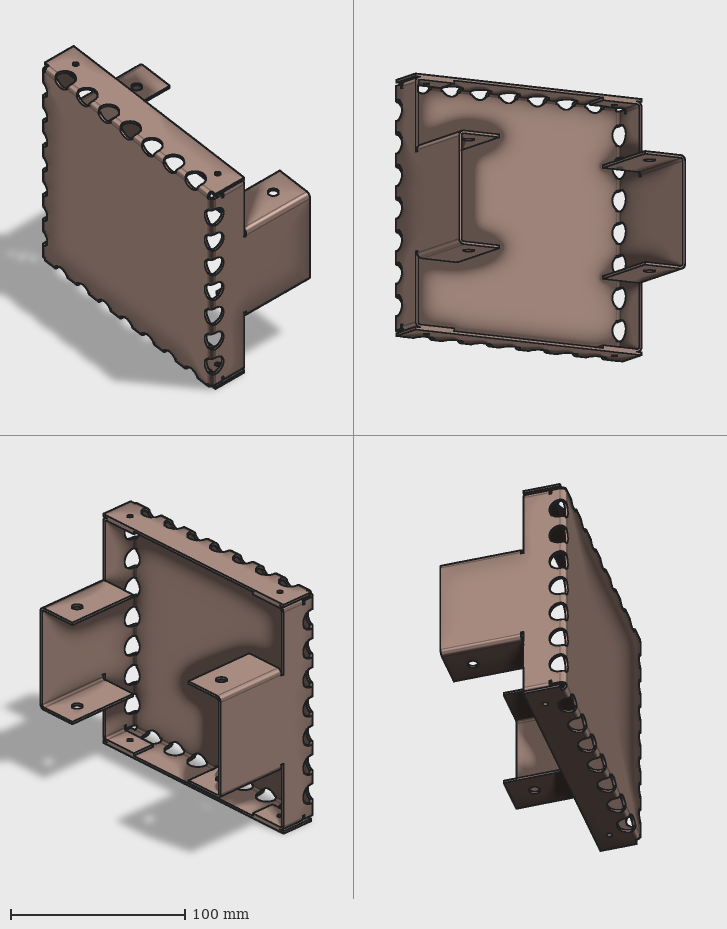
import cadquery as cq

size = 150.0
total_depth = 75.0
wall_depth = 25.0
sheet = 1.6
bend_radius = 3.2
half = size / 2
flat_half = half - bend_radius
bend_half = 71.5

vent_count = 7
vent_pitch = 19.0
vent_radius = 6.3
bend_allowance = 3.6

tab_half = half - sheet
tab_length = 25.5
tab_front = 9.5
tab_relief_front = 8.2
tab_relief_half = 69.2
tab_hole_diameter = 3.3
tab_hole_x = 62.4
tab_hole_y = 15.8

arm_height = 66.6
arm_relief = 1.6
arm_relief_drop = 4.0
flange_length = 26.7
flange_hole_diameter = 6.5
flange_hole_inset = 15.0

upright_plane = cq.Plane((0, 0, 0), (1, 0, 0), (0, 0, 1))
crosswise_plane = cq.Plane((0, 0, 0), (0, 0, 1), (-1, 0, 0))


def left_side_plane(y):
    """Plane at depth y with the web on the left side and the legs toward +X."""
    return cq.Plane((-half, y, 0), (0, 0, 1), (0, 1, 0))


def channel(plane, width, leg, length, both=False):
    """Bent U-section of sheet, extruded along the normal of the plane."""

    def bent_outline(half_width, bottom, radius):
        return (
            cq.Workplane(plane)
            .moveTo(-half_width, leg)
            .lineTo(-half_width, bottom + radius)
            .radiusArc((-half_width + radius, bottom), -radius)
            .lineTo(half_width - radius, bottom)
            .radiusArc((half_width, bottom + radius), -radius)
            .lineTo(half_width, leg)
            .close()
            .extrude(length, both=both)
        )

    outer = bent_outline(width / 2, 0, bend_radius)
    inner = bent_outline(width / 2 - sheet, sheet, bend_radius - sheet)
    return outer.cut(inner)


def block(x, y, z):
    """Box between the given (low, high) limits."""
    return cq.Workplane("XY").box(
        x[1] - x[0], y[1] - y[0], z[1] - z[0], centered=False
    ).translate((x[0], y[0], z[0]))


def mirrored(body, plane):
    return body.union(body.mirror(plane))


def cap_walls():
    """Flat top and bottom walls over the full width, passing beyond their bends."""
    wall = block((-half, half), (bend_radius, wall_depth), (half - sheet, half))
    return mirrored(wall, "XY")


def left_tabs():
    return channel(left_side_plane(tab_front), 2 * tab_half, tab_length, wall_depth - tab_front)


def tab_corner_relief():
    """Material above and below the side walls, cleared before adding the tabs."""
    relief = block((-half, half), (tab_relief_front, wall_depth), (tab_relief_half, half))
    return mirrored(relief, "XY")


def left_arm():
    arm_front = wall_depth + arm_relief
    neck_half = arm_height / 2 - arm_relief_drop
    neck = block((-half, -half + sheet), (wall_depth, arm_front), (-neck_half, neck_half))
    arm = channel(left_side_plane(arm_front), arm_height, flange_length, total_depth - arm_front)
    return arm.union(neck)


def edge_vents():
    """Openings on the top front edge: flat-sheet circles centred where wall meets bend, then folded."""
    positions = [((i - (vent_count - 1) / 2) * vent_pitch, 0) for i in range(vent_count)]
    wall_plane = cq.Plane((0, bend_radius, flat_half), (1, 0, 0), (0, 0, 1))
    panel_plane = cq.Plane((0, sheet, flat_half + bend_allowance), (1, 0, 0), (0, -1, 0))
    across = (-half, half)
    bend_zone = (flat_half, half)

    wall = cq.Workplane(wall_plane).pushPoints(positions).circle(vent_radius).extrude(bend_radius)
    wall = wall.intersect(block(across, (bend_radius, wall_depth), bend_zone))

    folded_radius = vent_radius * bend_radius / bend_allowance
    bend = (
        cq.Workplane(wall_plane)
        .pushPoints(positions)
        .ellipse(vent_radius, folded_radius)
        .extrude(bend_radius)
    )
    bend = bend.intersect(block(across, (0, bend_radius), bend_zone))

    panel = cq.Workplane(panel_plane).pushPoints(positions).circle(vent_radius).extrude(sheet)
    panel = panel.intersect(block(across, (0, sheet), (0, flat_half)))
    return wall.union(bend).union(panel)


def vertical_holes(x, y, diameter):
    return (
        cq.Workplane("XY")
        .pushPoints([(-x, y), (x, y)])
        .circle(diameter / 2)
        .extrude(size, both=True)
    )


sides = channel(upright_plane, size, wall_depth, bend_half, both=True)
sides = sides.cut(tab_corner_relief())
caps = channel(crosswise_plane, size, wall_depth, bend_half, both=True)
caps = caps.union(cap_walls())
tray = sides.union(caps)

top_vents = edge_vents()
for quarter in range(4):
    tray = tray.cut(top_vents.rotate((0, 0, 0), (0, 1, 0), 90 * quarter))

result = (
    tray
    .union(mirrored(left_tabs(), "YZ"))
    .union(mirrored(left_arm(), "YZ"))
    .cut(vertical_holes(tab_hole_x, tab_hole_y, tab_hole_diameter))
    .cut(vertical_holes(half - flange_hole_inset, total_depth - flange_hole_inset, flange_hole_diameter))
)